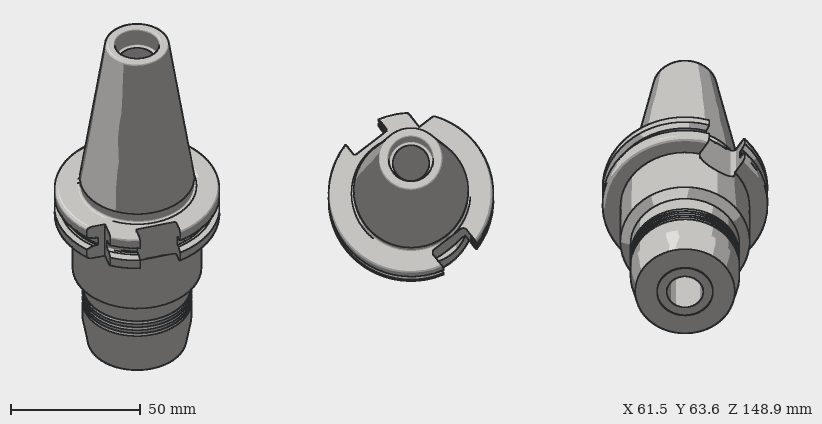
import cadquery as cq
import math


gauge_radius = 44.45 / 2
taper_ratio = 7 / 24
taper_top = 68.4
taper_bottom = 1.0
taper_tip_fillet = 1.2
neck_radius = 21.8
neck_top = -0.65
undercut_fillet = 1.0
undercut_radius = 24.3
undercut_angle = math.radians(8)

flange_radius = 63.55 / 2
flange_top = -3.2
flange_bottom = -19.1
flange_edge_fillet = 1.75
gripper_groove_mid = -11.1
gripper_groove_floor_radius = 56.25 / 2
gripper_groove_wall_radius = 29.7
gripper_groove_root_fillet = 0.4
gripper_groove_width = 3.75
gripper_groove_angle = math.radians(30)

body_radius = 49.75 / 2
body_bottom = -44.2
nose_radius = 21.0
shoulder_angle = math.radians(30)
nose_taper_top = -69.2
nose_end_radius = 19.15
nose_end = -80.1
end_lip_radius = 10.75
end_lip_bottom = -80.5

ring_groove_count = 3
first_ring_groove = -54.6
ring_groove_pitch = 3.0
ring_groove_width = 1.5
ring_groove_depth = 0.4

bore_radius = 7.0
counterbore_radius = 8.5
counterbore_depth = 8.2
counterbore_floor_fillet = 0.5
bore_mouth_fillet = 1.0

slot_width = 16.1
deep_slot_floor = 22.8
shallow_slot_floor = 25.0
deep_slot_fillet = 1.5
shallow_slot_fillet = 0.8
notch_offset = 18.5


def start_profile(radius, height):
    """Begin a half-section in the plane of the -Y axis and Z."""
    half_plane = cq.Plane(origin=(0, 0, 0), xDir=(0, -1, 0), normal=(-1, 0, 0))
    return cq.Workplane(half_plane).moveTo(radius, height)


def revolve_about_z(profile):
    """Turn a closed (radius, height) profile about the Z axis."""
    return profile.close().revolve(360, (0, 0, 0), (0, 1, 0))


def taper_radius(height):
    return gauge_radius - height * taper_ratio / 2


def make_blank():
    """Outer turned shape without grooves, bore or slots."""
    taper_half_angle = math.atan(taper_ratio / 2)
    tip_setback = taper_tip_fillet * math.tan(math.pi / 4 - taper_half_angle / 2)
    tip_fillet_bottom = taper_top - tip_setback * math.cos(taper_half_angle)

    undercut_floor_radius = neck_radius + undercut_fillet * (1 + math.sin(undercut_angle))
    undercut_rise = (undercut_radius - undercut_floor_radius) * math.tan(undercut_angle)
    undercut_floor = flange_top - undercut_rise
    neck_bottom = undercut_floor + undercut_fillet * math.cos(undercut_angle)

    shoulder_height = (body_radius - nose_radius) * math.tan(shoulder_angle)
    profile = (
        start_profile(0, taper_top)
        .lineTo(taper_radius(taper_top) - tip_setback, taper_top)
        .radiusArc((taper_radius(tip_fillet_bottom), tip_fillet_bottom), taper_tip_fillet)
        .lineTo(taper_radius(taper_bottom), taper_bottom)
        .lineTo(neck_radius, neck_top)
        .lineTo(neck_radius, neck_bottom)
        .radiusArc((undercut_floor_radius, undercut_floor), -undercut_fillet)
        .lineTo(undercut_radius, flange_top)
        .lineTo(flange_radius - flange_edge_fillet, flange_top)
        .radiusArc((flange_radius, flange_top - flange_edge_fillet), flange_edge_fillet)
        .lineTo(flange_radius, flange_bottom + flange_edge_fillet)
        .radiusArc((flange_radius - flange_edge_fillet, flange_bottom), flange_edge_fillet)
        .lineTo(body_radius, flange_bottom)
        .lineTo(body_radius, body_bottom)
        .lineTo(nose_radius, body_bottom - shoulder_height)
        .lineTo(nose_radius, nose_taper_top)
        .lineTo(nose_end_radius, nose_end)
        .lineTo(end_lip_radius, nose_end)
        .lineTo(end_lip_radius, end_lip_bottom)
        .lineTo(0, end_lip_bottom)
    )
    return revolve_about_z(profile)


def make_gripper_groove():
    """Straight-walled groove that opens into a V at the flange rim."""
    half_width = gripper_groove_width / 2
    flare = (flange_radius - gripper_groove_wall_radius) * math.tan(gripper_groove_angle)
    upper_wall = gripper_groove_mid + half_width
    lower_wall = gripper_groove_mid - half_width
    root_fillet = gripper_groove_root_fillet
    root_fillet_end = gripper_groove_floor_radius + root_fillet
    profile = (
        start_profile(root_fillet_end, upper_wall)
        .lineTo(gripper_groove_wall_radius, upper_wall)
        .lineTo(flange_radius, upper_wall + flare)
        .lineTo(flange_radius, lower_wall - flare)
        .lineTo(gripper_groove_wall_radius, lower_wall)
        .lineTo(root_fillet_end, lower_wall)
        .radiusArc((gripper_groove_floor_radius, lower_wall + root_fillet), root_fillet)
        .lineTo(gripper_groove_floor_radius, upper_wall - root_fillet)
        .radiusArc((root_fillet_end, upper_wall), root_fillet)
    )
    return revolve_about_z(profile)


def make_ring_groove(mid_height):
    """Ring groove with a circular-arc section."""
    upper_edge = (nose_radius, mid_height + ring_groove_width / 2)
    deepest_point = (nose_radius - ring_groove_depth, mid_height)
    lower_edge = (nose_radius, mid_height - ring_groove_width / 2)
    return revolve_about_z(start_profile(*upper_edge).threePointArc(deepest_point, lower_edge))


def make_bore():
    """Through hole with a counterbore, rounded at its mouth, in the taper tip."""
    counterbore_floor = taper_top - counterbore_depth
    floor_fillet = counterbore_floor_fillet
    profile = (
        start_profile(0, taper_top)
        .lineTo(counterbore_radius + bore_mouth_fillet, taper_top)
        .radiusArc((counterbore_radius, taper_top - bore_mouth_fillet), -bore_mouth_fillet)
        .lineTo(counterbore_radius, counterbore_floor + floor_fillet)
        .radiusArc((counterbore_radius - floor_fillet, counterbore_floor), floor_fillet)
        .lineTo(bore_radius, counterbore_floor)
        .lineTo(bore_radius, end_lip_bottom)
        .lineTo(0, end_lip_bottom)
    )
    return revolve_about_z(profile)


def make_slot_block(floor, fillet, bottom):
    """Radial slot on the +X side with rounded floor corners."""
    return (
        cq.Workplane("XY", origin=(floor, 0, bottom))
        .box(flange_radius, slot_width, flange_top - bottom, centered=(False, True, False))
        .edges("|Z and <X")
        .fillet(fillet)
    )


def make_deep_slot():
    """Slot on the -X side, running past the flange to a half-round end."""
    end_radius = slot_width / 2
    bottom = flange_bottom - end_radius
    block = make_slot_block(deep_slot_floor, deep_slot_fillet, bottom)
    round_end = (
        cq.Workplane("YZ")
        .moveTo(-end_radius, flange_top)
        .lineTo(-end_radius, flange_bottom)
        .threePointArc((0, bottom), (end_radius, flange_bottom))
        .lineTo(end_radius, flange_top)
        .close()
        .extrude(2 * flange_radius)
    )
    return block.intersect(round_end).rotate((0, 0, 0), (0, 0, 1), 180)


def make_notch():
    """Square notch through the flange at the +X, -Y corner."""
    corner = (notch_offset, -notch_offset - flange_radius, flange_bottom)
    height = flange_top - flange_bottom
    return cq.Workplane("XY", origin=corner).box(flange_radius, flange_radius, height, centered=False)


result = make_blank().cut(make_gripper_groove())
for groove_index in range(ring_groove_count):
    groove_height = first_ring_groove - groove_index * ring_groove_pitch
    result = result.cut(make_ring_groove(groove_height))
result = result.cut(make_bore())
result = result.cut(make_deep_slot())
result = result.cut(make_slot_block(shallow_slot_floor, shallow_slot_fillet, flange_bottom))
result = result.cut(make_notch())